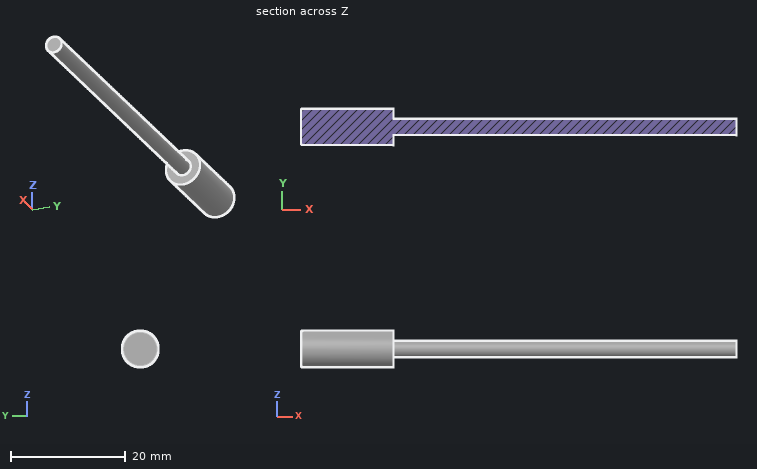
import cadquery as cq

total_length = 76.3
head_length = 16.25
head_diameter = 6.5
shank_diameter = 3.0
head_edge_radius = 0.3

shank_length = total_length - head_length
head_start = -total_length / 2

head = (
    cq.Workplane("YZ", origin=(head_start, 0, 0))
    .circle(head_diameter / 2)
    .extrude(head_length)
    .faces("<X")
    .fillet(head_edge_radius)
)

result = (
    head.faces(">X")
    .workplane()
    .circle(shank_diameter / 2)
    .extrude(shank_length)
)